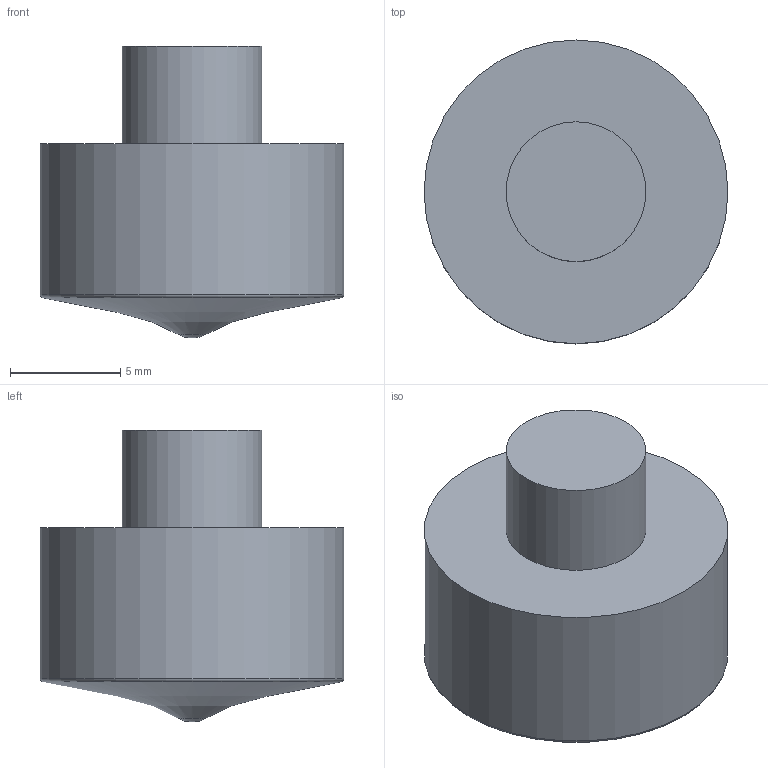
import cadquery as cq
import math

overall_height = 13.26
stem_diameter = 6.35
stem_length = 4.43
head_diameter = 13.8
rim_height = 1.845
rim_radius = 0.13
flare_angle = 10.8
cone_angle = 28.0
tip_radius = 1.35

stem_radius = stem_diameter / 2
head_radius = head_diameter / 2
shoulder_height = overall_height - stem_length
flare_turn = math.radians(flare_angle)
cone_turn = math.radians(cone_angle)


def tip_point(turn):
    """Point (radius, height) on the rounded tip, at an angle from its lowest point."""
    return (tip_radius * math.sin(turn), tip_radius * (1 - math.cos(turn)))


def tangents_meeting_point(cone_start):
    """Point where the straight lines along the cone and along the flare cross."""
    cone_slope = math.tan(cone_turn)
    flare_slope = math.tan(flare_turn)
    cone_axis_height = cone_start[1] - cone_start[0] * cone_slope
    flare_axis_height = rim_height - head_radius * flare_slope
    radius = (flare_axis_height - cone_axis_height) / (cone_slope - flare_slope)
    return (radius, cone_axis_height + radius * cone_slope)


def rim_point(turn):
    """Point (radius, height) on the rim rounding, at an angle from its downward direction."""
    tangent_length = rim_radius * math.tan((math.pi / 2 - flare_turn) / 2)
    centre = (head_radius - rim_radius, rim_height + tangent_length)
    return (
        centre[0] + rim_radius * math.sin(turn),
        centre[1] - rim_radius * math.cos(turn),
    )


def make_turned_part():
    """Revolve the half profile: rounded tip, concave flare, rim, head and stem."""
    tip_edge = tip_point(cone_turn)
    flare_corner = tangents_meeting_point(tip_edge)
    rim_bottom = rim_point(flare_turn)
    rim_middle = rim_point((flare_turn + math.pi / 2) / 2)
    rim_top = rim_point(math.pi / 2)
    profile = (
        cq.Workplane("XZ")
        .moveTo(0, 0)
        .threePointArc(tip_point(cone_turn / 2), tip_edge)
        .bezier([tip_edge, flare_corner, flare_corner, rim_bottom])
        .threePointArc(rim_middle, rim_top)
        .lineTo(head_radius, shoulder_height)
        .lineTo(stem_radius, shoulder_height)
        .lineTo(stem_radius, overall_height)
        .lineTo(0, overall_height)
        .close()
    )
    return profile.revolve(360, (0, 0, 0), (0, 1, 0))


result = make_turned_part()